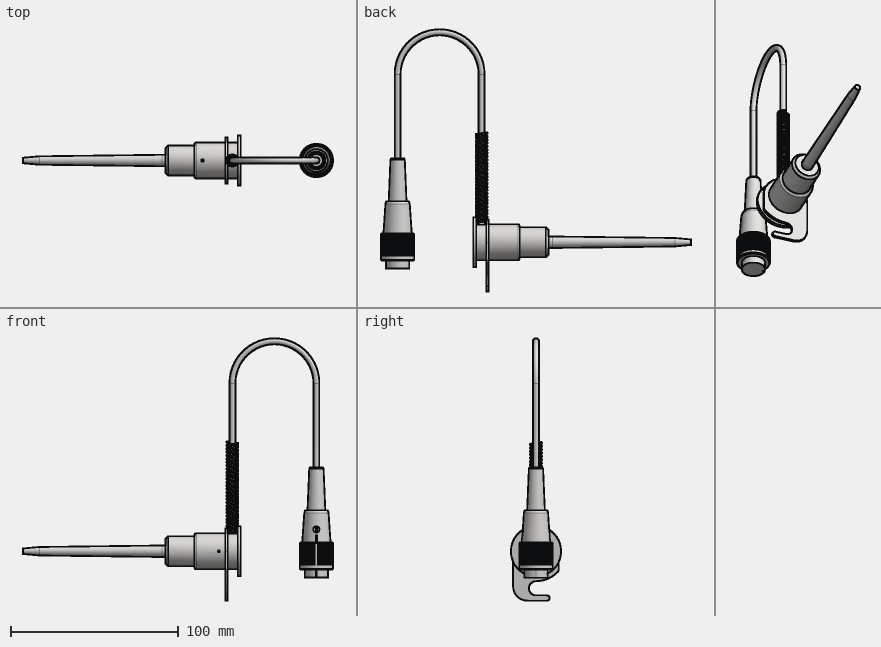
import cadquery as cq
import math


tip_x = -124.74
tip_dia = 3.4
tip_shoulder_x = -115.0
rod_front_dia = 5.2
rod_rear_x = -42.2
rod_rear_dia = 7.0
probe_socket_depth = 10.0

nose_x = -39.9
nose_dia = 18.0
nose_chamfer = 1.6
sleeve_x = -22.6
sleeve_dia = 21.5
sleeve_edge_radius = 1.0
flange_front_x = 3.1
flange_thickness = 2.0
flange_dia = 30.0
side_hole_x = -8.1
side_hole_dia = 1.0
top_hole_x = -17.8
top_hole_dia = 1.5
small_hole_depth = 3.0

plate_front_x = -4.2
plate_thickness = 1.5
plate_radius = 13.7
belly_radius = 17.9
belly_corner_radius = 3.0
hook_bottom_z = -29.5
hook_thickness = 3.3
hook_tip_y = 8.2
hook_corner_radius = 8.6

cable_dia = 3.7
cable_arch_z = 100.0
cable_arch_radius = 25.0
cable_socket_depth = 5.0

spring_outer_dia = 7.2
spring_wire_dia = 1.0
spring_pitch = 2.0
spring_turns = 27
spring_seat_depth = 0.25
spring_recess_gap = 0.1

boot_top_z = 50.0
boot_bottom_z = 24.5
boot_top_dia = 8.7
boot_bottom_dia = 10.75
boot_chamfer = 0.5
boot_chamfer_height = 1.0
body_shoulder_dia = 13.4
body_top_dia = 14.6
body_shoulder_z = 22.9
body_bottom_dia = 17.0
ring_top_z = 5.3
ring_bottom_z = -10.9
ring_dia = 19.9
ring_chamfer = 0.6
knurl_bottom_z = -8.0
knurl_grooves = 74
knurl_strip_grooves = 2
knurl_depth = 0.35
plug_bottom_z = -15.7
plug_dia = 13.9
key_slot_width = 0.6
key_slot_depth = 0.85
screw_dia = 3.7
screw_z = 13.0
screw_recess_depth = 0.3
screw_slot_width = 0.8
screw_slot_length = 3.2
screw_slot_depth = 0.5
marker_width = 0.8
marker_top_z = 9.6
marker_depth = 0.5

sleeve_radius = sleeve_dia / 2
probe_end_x = nose_x + probe_socket_depth
cable_start_z = sleeve_radius - cable_socket_depth
cable_end_z = boot_top_z - cable_socket_depth
connector_x = 2 * cable_arch_radius
spring_seat_z = sleeve_radius - spring_seat_depth
spring_recess_dia = spring_outer_dia + 2 * spring_recess_gap


def rod_z(dia, z_low, z_high, x=0.0):
    """Upright cylinder between two heights."""
    return cq.Workplane("XY", origin=(x, 0, z_low)).circle(dia / 2).extrude(z_high - z_low)


def make_probe():
    half_outline = [
        (tip_x, 0),
        (tip_x, tip_dia / 2),
        (tip_shoulder_x, rod_front_dia / 2),
        (rod_rear_x, rod_rear_dia / 2),
        (probe_end_x, rod_rear_dia / 2),
        (probe_end_x, 0),
    ]
    return cq.Workplane("XZ").polyline(half_outline).close().revolve(360, (0, 0, 0), (1, 0, 0))


def make_handle():
    nose = (
        cq.Workplane("YZ", origin=(nose_x, 0, 0))
        .circle(nose_dia / 2)
        .extrude(sleeve_x - nose_x)
        .faces("<X").chamfer(nose_chamfer)
    )
    sleeve = (
        cq.Workplane("YZ", origin=(sleeve_x, 0, 0))
        .circle(sleeve_radius)
        .extrude(flange_front_x - sleeve_x)
        .faces("<X").edges().fillet(sleeve_edge_radius)
    )
    flange = (
        cq.Workplane("YZ", origin=(flange_front_x, 0, 0))
        .circle(flange_dia / 2)
        .extrude(flange_thickness)
    )
    probe_socket = (
        cq.Workplane("YZ", origin=(nose_x, 0, 0)).circle(rod_rear_dia / 2).extrude(probe_socket_depth)
    )
    cable_socket = rod_z(cable_dia, cable_start_z, sleeve_radius)
    spring_recess = rod_z(spring_recess_dia, spring_seat_z, flange_dia / 2)
    top_hole = rod_z(top_hole_dia, sleeve_radius - small_hole_depth, sleeve_radius, top_hole_x)
    side_hole = (
        cq.Workplane("XZ", origin=(side_hole_x, -sleeve_radius, 0))
        .circle(side_hole_dia / 2)
        .extrude(-small_hole_depth)
    )
    handle = nose.union(sleeve).union(flange)
    for cutter in (probe_socket, cable_socket, spring_recess, top_hole, side_hole):
        handle = handle.cut(cutter)
    return handle


def make_hook_plate():
    belly_y = plate_radius
    belly_z = -math.sqrt(belly_radius**2 - belly_y**2)
    belly_mid = belly_radius * math.sqrt(0.5)
    slot_bottom_z = hook_bottom_z + hook_thickness
    slot_top_z = -belly_radius
    slot_mid_z = (slot_top_z + slot_bottom_z) / 2
    slot_radius = slot_top_z - slot_mid_z
    tip_radius = hook_thickness / 2
    corner_mid = hook_corner_radius * (1 - math.sqrt(0.5))

    plate = (
        cq.Workplane("YZ", origin=(plate_front_x, 0, 0))
        .moveTo(-plate_radius, 0)
        .threePointArc((0, plate_radius), (plate_radius, 0))
        .lineTo(belly_y, belly_z)
        .threePointArc((belly_mid, -belly_mid), (0, slot_top_z))
        .threePointArc((-slot_radius, slot_mid_z), (0, slot_bottom_z))
        .lineTo(hook_tip_y - tip_radius, slot_bottom_z)
        .threePointArc(
            (hook_tip_y, hook_bottom_z + tip_radius),
            (hook_tip_y - tip_radius, hook_bottom_z),
        )
        .lineTo(-plate_radius + hook_corner_radius, hook_bottom_z)
        .threePointArc(
            (-plate_radius + corner_mid, hook_bottom_z + corner_mid),
            (-plate_radius, hook_bottom_z + hook_corner_radius),
        )
        .close()
        .extrude(plate_thickness)
    )
    belly_corner = cq.selectors.NearestToPointSelector(
        (plate_front_x + plate_thickness / 2, belly_y, belly_z)
    )
    plate = plate.edges(belly_corner).fillet(belly_corner_radius)
    sleeve_bore = (
        cq.Workplane("YZ", origin=(plate_front_x, 0, 0)).circle(sleeve_radius).extrude(plate_thickness)
    )
    spring_recess = rod_z(spring_recess_dia, 0, plate_radius)
    return plate.cut(sleeve_bore).cut(spring_recess)


def make_cable():
    path = (
        cq.Workplane("XZ")
        .moveTo(0, cable_start_z)
        .lineTo(0, cable_arch_z)
        .threePointArc(
            (cable_arch_radius, cable_arch_z + cable_arch_radius),
            (connector_x, cable_arch_z),
        )
        .lineTo(connector_x, cable_end_z)
    )
    return cq.Workplane("XY", origin=(0, 0, cable_start_z)).circle(cable_dia / 2).sweep(path)


def make_spring():
    coil_radius = (spring_outer_dia - spring_wire_dia) / 2
    start_z = spring_seat_z + spring_wire_dia / 2
    coil = cq.Wire.makeHelix(
        spring_pitch, spring_pitch * spring_turns, coil_radius, cq.Vector(0, 0, start_z)
    )
    spring = (
        cq.Workplane("XZ", origin=(coil_radius, 0, start_z))
        .circle(spring_wire_dia / 2)
        .sweep(cq.Workplane(coil), isFrenet=True)
    )
    return spring.rotate((0, 0, 0), (0, 0, 1), 180)


def make_knurled_ring():
    """Ring with V grooves all round, except for one plain strip facing -Y."""
    ring = rod_z(ring_dia, ring_bottom_z, ring_top_z, connector_x).edges().chamfer(ring_chamfer)
    groove_angle = 2 * math.pi / knurl_grooves
    outer = ring_dia / 2
    strip_start = -math.pi / 2 - knurl_strip_grooves / 2 * groove_angle
    strip_end = -math.pi / 2 + knurl_strip_grooves / 2 * groove_angle
    profile = []
    for i in range(knurl_grooves - knurl_strip_grooves):
        crest = strip_end + i * groove_angle
        root = crest + groove_angle / 2
        profile.append((outer * math.cos(crest), outer * math.sin(crest)))
        profile.append(((outer - knurl_depth) * math.cos(root), (outer - knurl_depth) * math.sin(root)))
    profile.append((outer * math.cos(strip_start), outer * math.sin(strip_start)))
    knurl = (
        cq.Workplane("XY", origin=(connector_x, 0, knurl_bottom_z))
        .polyline(profile)
        .threePointArc((0, -outer), profile[0])
        .close()
        .extrude(ring_top_z - knurl_bottom_z)
    )
    plain_band = rod_z(ring_dia, ring_bottom_z, knurl_bottom_z, connector_x)
    return ring.intersect(knurl.union(plain_band))


def make_connector():
    upper = (
        cq.Workplane("XZ", origin=(connector_x, 0, 0))
        .polyline([
            (0, boot_top_z),
            (boot_top_dia / 2 - boot_chamfer, boot_top_z),
            (boot_top_dia / 2, boot_top_z - boot_chamfer_height),
            (boot_bottom_dia / 2, boot_bottom_z),
            (body_shoulder_dia / 2, boot_bottom_z),
            (body_top_dia / 2, body_shoulder_z),
            (body_bottom_dia / 2, ring_top_z),
            (0, ring_top_z),
        ])
        .close()
        .revolve(360, (0, 0, 0), (0, 1, 0))
    )
    plug = rod_z(plug_dia, plug_bottom_z, ring_bottom_z, connector_x)
    key_slot = cq.Workplane("XY").box(
        key_slot_width, key_slot_depth, ring_bottom_z - plug_bottom_z, centered=(True, False, False)
    ).translate((connector_x, -plug_dia / 2, plug_bottom_z))
    connector = upper.union(make_knurled_ring()).union(plug.cut(key_slot))

    taper = (body_bottom_dia - body_top_dia) / 2 / (body_shoulder_z - ring_top_z)
    body_radius_at_screw = body_bottom_dia / 2 - taper * (screw_z - ring_top_z)
    screw_face = cq.Workplane("XZ", origin=(connector_x, -body_radius_at_screw + screw_recess_depth, screw_z))
    screw_recess = screw_face.circle(screw_dia / 2).extrude(2 * screw_recess_depth)
    screw_slot = screw_face.rect(screw_slot_width, screw_slot_length).extrude(-screw_slot_depth)
    marker = cq.Workplane("XY").box(
        marker_width, marker_depth + taper * (marker_top_z - ring_top_z), marker_top_z - ring_top_z,
        centered=(True, False, False),
    ).translate((connector_x, -body_bottom_dia / 2, ring_top_z))
    cable_socket = rod_z(cable_dia, cable_end_z, boot_top_z, connector_x)
    return connector.cut(screw_recess).cut(screw_slot).cut(marker).cut(cable_socket)


probe = make_probe()
handle = make_handle()
hook_plate = make_hook_plate()
cable = make_cable()
spring = make_spring()
connector = make_connector()

result = cq.Compound.makeCompound([
    probe.val(),
    handle.val(),
    hook_plate.val(),
    cable.val(),
    spring.val(),
    connector.val(),
])